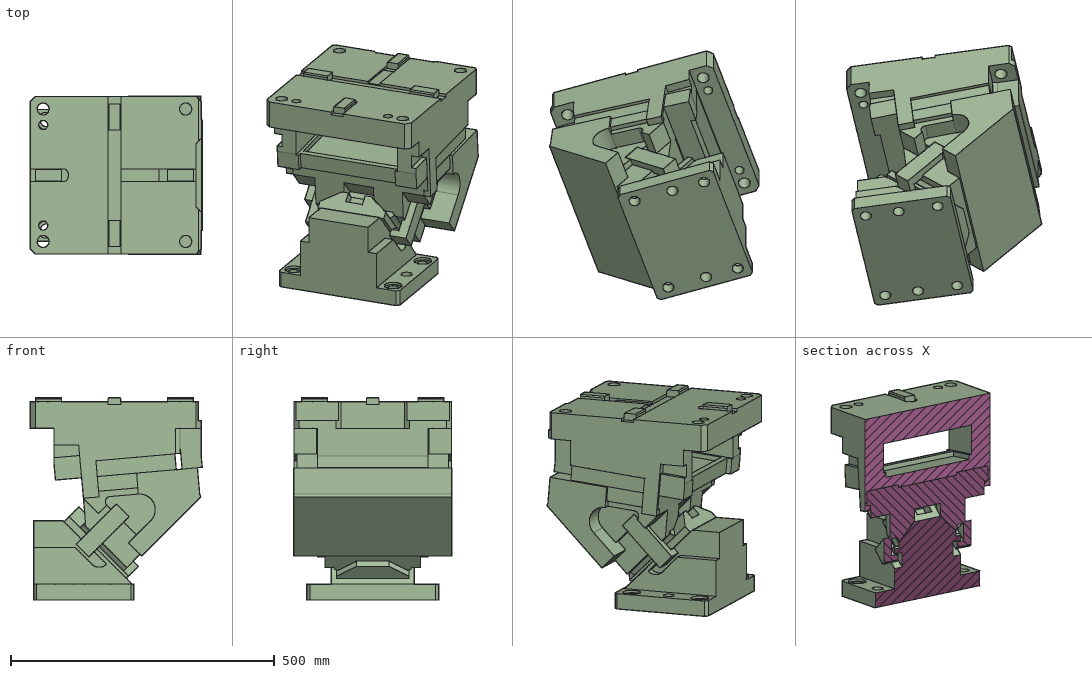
import cadquery as cq
import math


TILT = math.radians(5)
TILT_ORIGIN_Z = 237.5
SLOPE = math.radians(45)
TILT_DIR = (math.cos(TILT), math.sin(TILT))
TILT_NORMAL = (-math.sin(TILT), math.cos(TILT))
SLOPE_DIR = (math.cos(SLOPE), -math.sin(SLOPE))
SLOPE_NORMAL = (math.sin(SLOPE), math.cos(SLOPE))

CUT_OVERRUN = 4.0

OVERALL_LENGTH = 326.8
TOP_Z = 384.0
PLATE_TOP = 376.5
PLATE_BOTTOM = 325.2
PLATE_LEFT = -OVERALL_LENGTH / 2
PLATE_RIGHT = 161.3
HOLDER_HALF = 149.8
PLATE_CHAMFER = 10.0
LEDGE_X = 156.0
LEDGE_Z = 340.2
REAR_NOTCH_X = 151.3
REAR_NOTCH_HALF = 60.0
SLOT_HALF = 12.3
SLOT_FLOOR = 371.0
RAISED_FLOOR = 373.2
RAISED_FLOOR_END_X = 81.0
CROSS_SLOT_X = -3.5
LEFT_SLOT_END_X = -97.5
LEFT_SLOT_TIP_X = -90.5
KEY_LENGTH = 49.5
KEY_CHAMFER = 3.0
KEY_CHAMFER_WIDTH = 1.5
LEFT_KEY_X = -128.3
RIGHT_KEY_X = 121.7
CROSS_KEY_Y = 110.2
LEFT_HOLE_X = -138.5
RIGHT_HOLE_X = 131.7
BOLT_HOLE_Y = 125.5
BOLT_HOLE_DIA = 22.3
REAR_BOLT_HOLE_DIA = 23.0
DOWEL_Y = 95.2
DOWEL_DIA = 17.0

HOUSING_LEFT = -118.3
HOUSING_RIGHT = 112.0
CHEEK_LEFT_A = -66.0
CHEEK_RIGHT_A = -36.0
CHEEK_BOTTOM_H = -38.8
CHEEK_STEP_Z = 294.0
CHEEK_STEP_HALF = 134.5
GUIDE_HALF = 144.0
GUIDE_THICKNESS = 30.0
GUIDE_LEFT_A = -116.0
GUIDE_RIGHT_A = 114.5
GUIDE_SHOULDER_H = 42.5
CHANNEL_HALF = 105.2
CHANNEL_TOP = 320.3
RECESS_HALF = 99.0
RECESS_H = 20.7
BAR_LEFT_A = -106.5
BAR_RIGHT_A = -94.5
BAR_HALF = 100.2
KEEL_HALF = 70.0
KEEL_DEPTH = 5.5

WEB_RIGHT = 121.5
STOP_RIGHT = 161.3
STOP_HALF = 105.2
WEB_BOTTOM_Z = 277.5
STOP_BEND_Z = 272.5
STOP_LEFT_A = 125.0
STOP_TIP_X = OVERALL_LENGTH / 2
GUSSET = 23.0
GUSSET_X = 116.7
WEB_OVERHANG = 2.0

SLIDER_HALF = 300.0 / 2
TONGUE_H = -28.0
SHOULDER_HALF = 135.5
BODY_HALF = 90.5
POCKET_FLOOR_HALF = 103.5
WIDE_LEFT_A = 38.8
WIDE_RIGHT_A = 154.8
WIDE_RIGHT_H = -50.3
FOOT_INNER_U = -60.3
FOOT_OUTER_U = -24.5
FOOT_N = 93.0
FOOT_TIP_X = 160.5
POCKET_ROOF_H = -40.0
POCKET_FLOOR_N = 114.5
POCKET_FLOOR_TOP_N = 229.0
POCKET_SMALL_RADIUS = 9.5
POCKET_BIG_RADIUS = 29.5
SLIDER_FRONT_U = -192.0
NOTCH_U = -139.8
NOTCH_N = 92.0
NOTCH_HALF = 30.7
SKIRT_START_U = -145.5
SKIRT_START_N = 62.5
BODY_END_U = -29.0
SKIRT_N = 57.5
SKIRT_HALF = 74.5
HOOK_U = (-128.5, -94.5)
HOOK_N = (21.0, 129.0)
HOOK_HALF = 104.5
HOOK_INNER_HALF = 85.5
HOOK_LIP_HALF = 70.3
HOOK_LIP_TOP_N = 34.0

BASE_LEFT = -156.5
BASE_RIGHT = 33.5
BASE_HALF = 125.0
BASE_HEIGHT = 30.0
BASE_CHAMFER = 5.8
BLOCK_HALF = 79.0
BLOCK_Z = 100.0
BLOCK_N = 42.5
TOWER_HALF = 61.5
TOWER_Z = 150.5
ROOF_U = (-175.0, -15.5)
ROOF_EDGE_HALF = 68.5
ROOF_EDGE_N = 48.8
ROOF_TOP_HALF = 30.7
ROOF_TOP_N = 75.0
RIDGE_SLOT_HALF = 17.3
RIDGE_SLOT_N = 56.5
RIDGE_SLOT_LENGTH = 19.2
FLANGE_N = 35.0
FLANGE_START_U = -115.2
GROOVE_N = 15.5
GROOVE_END_U = -61.0
BASE_HOLE_Y = 103.0
BASE_BOLT_XS = (-133.0, 5.8)
BASE_DOWEL_X = -69.5
BASE_BOLT_DIA = 20.7
BASE_COUNTERBORE_DIA = 33.0
BASE_COUNTERBORE_DEPTH = 4.5
BASE_DOWEL_DIA = 20.7


def tilt(a, h):
    """XZ point of tilt-frame coordinates."""
    return (
        a * TILT_DIR[0] + h * TILT_NORMAL[0],
        TILT_ORIGIN_Z + a * TILT_DIR[1] + h * TILT_NORMAL[1],
    )


def slope(u, n):
    """XZ point of slope-frame coordinates."""
    return (
        u * SLOPE_DIR[0] + n * SLOPE_NORMAL[0],
        u * SLOPE_DIR[1] + n * SLOPE_NORMAL[1],
    )


def crossing(p, p_dir, q, q_dir):
    """XZ point where the line from p along p_dir meets the line from q along q_dir."""
    across = p_dir[0] * q_dir[1] - p_dir[1] * q_dir[0]
    along = ((q[0] - p[0]) * q_dir[1] - (q[1] - p[1]) * q_dir[0]) / across
    return (p[0] + along * p_dir[0], p[1] + along * p_dir[1])


def on_circle(center, radius, angle):
    """XZ point of a circle at an angle in radians from +X."""
    return (center[0] + radius * math.cos(angle), center[1] + radius * math.sin(angle))


def plate(outline, half):
    """Closed XZ outline extruded to Y = -half .. +half."""
    return outline.close().extrude(half, both=True)


def prism(points, half):
    """XZ polygon extruded to Y = -half .. +half."""
    return plate(cq.Workplane("XZ").polyline(points), half)


def side_pair(points, inner, outer):
    """XZ polygon extruded between inner and outer on both sides of Y = 0."""
    return prism(points, outer).cut(prism(points, inner))


def slope_prism(points, u_start, u_end):
    """(Y, n) polygon extruded along the slope."""
    start = slope(u_start, 0)
    plane = cq.Plane(
        origin=(start[0], 0, start[1]),
        xDir=(0, 1, 0),
        normal=(SLOPE_DIR[0], 0, SLOPE_DIR[1]),
    )
    return cq.Workplane(plane).polyline(points).close().extrude(u_end - u_start)


def mirrored(points):
    """Add the mirror image in Y of a half profile, giving a whole profile."""
    return points + [(-y, n) for y, n in reversed(points)]


def block(x_range, half, z_range):
    """Box centred on Y = 0."""
    (x0, x1), (z0, z1) = x_range, z_range
    return cq.Workplane("XY").box(
        x1 - x0, 2 * half, z1 - z0, centered=(False, True, False)
    ).translate((x0, 0, z0))


def hole(x, y, diameter, z_bottom, z_top):
    return cq.Workplane("XY", origin=(x, y, z_bottom)).circle(diameter / 2).extrude(z_top - z_bottom)


def key(x, y, turn):
    """Key bar standing in its slot, bevelled along its long top edges."""
    profile = mirrored(
        [
            (SLOT_HALF, SLOT_FLOOR),
            (SLOT_HALF, TOP_Z - KEY_CHAMFER),
            (SLOT_HALF - KEY_CHAMFER_WIDTH, TOP_Z),
        ]
    )
    bar = cq.Workplane("YZ").polyline(profile).close().extrude(KEY_LENGTH / 2, both=True)
    return bar.rotate((0, 0, 0), (0, 0, 1), turn).translate((x, y, 0))


def top_plate():
    body = block((PLATE_LEFT, PLATE_RIGHT), HOLDER_HALF, (PLATE_BOTTOM, PLATE_TOP))
    body = body.edges("|Z").chamfer(PLATE_CHAMFER)
    body = body.cut(block((LEDGE_X, PLATE_RIGHT), HOLDER_HALF, (LEDGE_Z, PLATE_TOP)))

    flare = REAR_NOTCH_HALF + PLATE_RIGHT - REAR_NOTCH_X
    rear_notch = cq.Workplane("XY", origin=(0, 0, PLATE_BOTTOM)).polyline(
        [
            (REAR_NOTCH_X, -REAR_NOTCH_HALF),
            (PLATE_RIGHT, -flare),
            (PLATE_RIGHT, flare),
            (REAR_NOTCH_X, REAR_NOTCH_HALF),
        ]
    ).close().extrude(PLATE_TOP - PLATE_BOTTOM)
    body = body.cut(rear_notch)

    slot_depth = (SLOT_FLOOR, PLATE_TOP)
    left_slot = (
        cq.Workplane("XY", origin=(0, 0, SLOT_FLOOR))
        .moveTo(PLATE_LEFT, -SLOT_HALF)
        .lineTo(LEFT_SLOT_END_X, -SLOT_HALF)
        .threePointArc((LEFT_SLOT_TIP_X, 0), (LEFT_SLOT_END_X, SLOT_HALF))
        .lineTo(PLATE_LEFT, SLOT_HALF)
        .close()
        .extrude(PLATE_TOP - SLOT_FLOOR)
    )
    body = body.cut(left_slot)
    body = body.cut(block((CROSS_SLOT_X - SLOT_HALF, CROSS_SLOT_X + SLOT_HALF), HOLDER_HALF, slot_depth))
    body = body.cut(block((CROSS_SLOT_X, RAISED_FLOOR_END_X), SLOT_HALF, (RAISED_FLOOR, PLATE_TOP)))
    body = body.cut(block((RAISED_FLOOR_END_X, PLATE_RIGHT), SLOT_HALF, slot_depth))

    keys = [
        (LEFT_KEY_X, 0, 0),
        (RIGHT_KEY_X, 0, 0),
        (CROSS_SLOT_X, CROSS_KEY_Y, 90),
        (CROSS_SLOT_X, -CROSS_KEY_Y, 90),
    ]
    for x, y, turn in keys:
        body = body.union(key(x, y, turn))

    holes = [
        (LEFT_HOLE_X, BOLT_HOLE_Y, BOLT_HOLE_DIA),
        (RIGHT_HOLE_X, BOLT_HOLE_Y, REAR_BOLT_HOLE_DIA),
        (LEFT_HOLE_X, DOWEL_Y, DOWEL_DIA),
    ]
    for x, y, diameter in holes:
        for side in (-1, 1):
            body = body.cut(hole(x, side * y, diameter, PLATE_BOTTOM, PLATE_TOP))
    return body


def housing():
    step_corner = crossing(tilt(CHEEK_LEFT_A, 0), TILT_NORMAL, (0, CHEEK_STEP_Z), (1, 0))
    guide_top = crossing(tilt(0, GUIDE_THICKNESS), TILT_DIR, (HOUSING_RIGHT, 0), (0, 1))
    cheeks = prism(
        [
            (HOUSING_LEFT, PLATE_BOTTOM),
            (HOUSING_LEFT, CHEEK_STEP_Z),
            step_corner,
            tilt(CHEEK_LEFT_A, CHEEK_BOTTOM_H),
            tilt(CHEEK_RIGHT_A, CHEEK_BOTTOM_H),
            tilt(CHEEK_RIGHT_A, GUIDE_THICKNESS),
            guide_top,
            (HOUSING_RIGHT, PLATE_BOTTOM),
        ],
        HOLDER_HALF,
    )
    passages = [
        (GUIDE_HALF, TONGUE_H, GUIDE_THICKNESS),
        (SHOULDER_HALF, CHEEK_BOTTOM_H, TONGUE_H),
    ]
    for half, bottom, top in passages:
        passage = [
            tilt(CHEEK_LEFT_A, bottom),
            tilt(CHEEK_RIGHT_A, bottom),
            tilt(CHEEK_RIGHT_A, top),
            tilt(CHEEK_LEFT_A, top),
        ]
        cheeks = cheeks.cut(prism(passage, half))

    front_shoulder = crossing(tilt(0, GUIDE_SHOULDER_H), TILT_DIR, (HOUSING_LEFT, 0), (0, 1))
    front_edge = crossing(tilt(GUIDE_LEFT_A, 0), TILT_NORMAL, (HOUSING_LEFT, 0), (0, 1))
    guide = prism(
        [
            front_shoulder,
            front_edge,
            tilt(GUIDE_LEFT_A, 0),
            tilt(GUIDE_RIGHT_A, 0),
            tilt(GUIDE_RIGHT_A, GUIDE_THICKNESS),
            tilt(CHEEK_LEFT_A, GUIDE_THICKNESS),
            tilt(CHEEK_LEFT_A, GUIDE_SHOULDER_H),
        ],
        GUIDE_HALF,
    )
    front_web = prism(
        [
            (HOUSING_LEFT, CHEEK_STEP_Z),
            front_shoulder,
            tilt(CHEEK_LEFT_A, GUIDE_SHOULDER_H),
            step_corner,
        ],
        CHEEK_STEP_HALF,
    )
    body = cheeks.union(guide).union(front_web)

    channel = [
        (HOUSING_LEFT, CHANNEL_TOP),
        tilt(GUIDE_LEFT_A - CUT_OVERRUN, GUIDE_THICKNESS),
        tilt(GUIDE_RIGHT_A + CUT_OVERRUN, GUIDE_THICKNESS),
        (HOUSING_RIGHT + CUT_OVERRUN, CHANNEL_TOP),
    ]
    body = body.cut(prism(channel, CHANNEL_HALF))
    recess = [
        tilt(BAR_RIGHT_A, RECESS_H),
        tilt(GUIDE_RIGHT_A, RECESS_H),
        tilt(GUIDE_RIGHT_A, GUIDE_THICKNESS),
        tilt(BAR_RIGHT_A, GUIDE_THICKNESS),
    ]
    body = body.cut(prism(recess, RECESS_HALF))
    bar_setback = [
        tilt(GUIDE_LEFT_A - CUT_OVERRUN, 0),
        tilt(BAR_LEFT_A, 0),
        tilt(BAR_LEFT_A, GUIDE_THICKNESS),
        tilt(GUIDE_LEFT_A - CUT_OVERRUN, GUIDE_THICKNESS),
    ]
    body = body.cut(prism(bar_setback, BAR_HALF))
    return body.union(keel())


def keel():
    """Shallow key under the guide that runs in the slider's top groove."""
    return prism(
        [
            tilt(CHEEK_LEFT_A, -KEEL_DEPTH),
            tilt(GUIDE_RIGHT_A, -KEEL_DEPTH),
            tilt(GUIDE_RIGHT_A, 0),
            tilt(CHEEK_LEFT_A, 0),
        ],
        KEEL_HALF,
    )


def rear_stop():
    stop = prism(
        [
            crossing(tilt(STOP_LEFT_A, 0), TILT_NORMAL, (0, PLATE_BOTTOM), (1, 0)),
            tilt(STOP_LEFT_A, 0),
            tilt(STOP_TIP_X / TILT_DIR[0], 0),
            (STOP_RIGHT, STOP_BEND_Z),
            (STOP_RIGHT, PLATE_BOTTOM),
        ],
        STOP_HALF,
    )
    for side in (-1, 1):
        web_plan = [
            (HOUSING_RIGHT, side * CHANNEL_HALF),
            (WEB_RIGHT, side * RECESS_HALF),
            (WEB_RIGHT, side * STOP_HALF),
            (HOUSING_RIGHT, side * (STOP_HALF + WEB_OVERHANG)),
        ]
        web = cq.Workplane("XY", origin=(0, 0, WEB_BOTTOM_Z)).polyline(web_plan).close()
        gusset_profile = [
            (side * RECESS_HALF, CHANNEL_TOP - GUSSET),
            (side * STOP_HALF, CHANNEL_TOP - GUSSET),
            (side * STOP_HALF, CHANNEL_TOP),
            (side * (RECESS_HALF - GUSSET), CHANNEL_TOP),
        ]
        gusset = cq.Workplane("YZ", origin=(GUSSET_X, 0, 0)).polyline(gusset_profile).close()
        stop = stop.union(web.extrude(PLATE_BOTTOM - WEB_BOTTOM_Z))
        stop = stop.union(gusset.extrude(WEB_RIGHT - GUSSET_X))
    roof = block((HOUSING_RIGHT, WEB_RIGHT), STOP_HALF, (CHANNEL_TOP, PLATE_BOTTOM))
    return stop.union(roof)


def make_holder():
    return top_plate().union(housing()).union(rear_stop())


def slider_body():
    """Central body whose underside rides on the driver's roof."""
    left_edge = (tilt(CHEEK_LEFT_A, 0), TILT_NORMAL)
    body = prism(
        [
            tilt(CHEEK_LEFT_A, 0),
            crossing(*left_edge, slope(0, SKIRT_N), SLOPE_DIR),
            slope(BODY_END_U, SKIRT_N),
            slope(BODY_END_U, POCKET_FLOOR_N),
            tilt(WIDE_RIGHT_A, 0),
        ],
        BODY_HALF,
    )
    skirt = mirrored(
        [
            (ROOF_EDGE_HALF, ROOF_EDGE_N),
            (SKIRT_HALF, SKIRT_N),
            (ROOF_EDGE_HALF, SKIRT_START_N),
        ]
    )
    return body.union(slope_prism(skirt, SKIRT_START_U, BODY_END_U))


def slider_shoulder():
    """Front part under the guide: wide tongue above, narrower shoulder below."""
    center = crossing(
        tilt(0, POCKET_ROOF_H - POCKET_SMALL_RADIUS), TILT_DIR,
        slope(0, POCKET_FLOOR_N + POCKET_SMALL_RADIUS), SLOPE_DIR,
    )
    arc_start_angle = -math.pi / 2 - SLOPE
    arc_end_angle = math.pi / 2 + TILT - 2 * math.pi
    arc_middle_angle = (arc_start_angle + arc_end_angle) / 2
    left_edge = (tilt(CHEEK_LEFT_A, 0), TILT_NORMAL)
    arc_start = on_circle(center, POCKET_SMALL_RADIUS, arc_start_angle)
    notch_corner = crossing(arc_start, SLOPE_NORMAL, slope(0, NOTCH_N), SLOPE_DIR)
    outline = (
        cq.Workplane("XZ")
        .moveTo(*tilt(CHEEK_LEFT_A, 0))
        .lineTo(*crossing(*left_edge, slope(0, NOTCH_N), SLOPE_DIR))
        .lineTo(*notch_corner)
        .lineTo(*arc_start)
        .threePointArc(
            on_circle(center, POCKET_SMALL_RADIUS, arc_middle_angle),
            on_circle(center, POCKET_SMALL_RADIUS, arc_end_angle),
        )
        .lineTo(*tilt(WIDE_LEFT_A, POCKET_ROOF_H))
        .lineTo(*tilt(WIDE_LEFT_A, 0))
    )
    tongue = [
        tilt(CHEEK_LEFT_A, TONGUE_H),
        tilt(WIDE_LEFT_A, TONGUE_H),
        tilt(WIDE_LEFT_A, 0),
        tilt(CHEEK_LEFT_A, 0),
    ]
    return plate(outline, SHOULDER_HALF).union(prism(tongue, GUIDE_HALF))


def slider_wide_part():
    """Full-width rear part with its foot, curved around the side pocket."""
    center = crossing(
        tilt(0, POCKET_ROOF_H - POCKET_BIG_RADIUS), TILT_DIR,
        slope(FOOT_INNER_U - POCKET_BIG_RADIUS, 0), SLOPE_NORMAL,
    )
    arc_start_angle = math.pi / 2 + TILT
    arc_end_angle = -SLOPE
    arc_middle_angle = (arc_start_angle + arc_end_angle) / 2
    outline = (
        cq.Workplane("XZ")
        .moveTo(*tilt(WIDE_LEFT_A, 0))
        .lineTo(*on_circle(center, POCKET_BIG_RADIUS, arc_start_angle))
        .threePointArc(
            on_circle(center, POCKET_BIG_RADIUS, arc_middle_angle),
            on_circle(center, POCKET_BIG_RADIUS, arc_end_angle),
        )
        .lineTo(*slope(FOOT_INNER_U, FOOT_N))
        .lineTo(*slope(FOOT_OUTER_U, FOOT_N))
        .lineTo(*crossing(slope(FOOT_OUTER_U, 0), SLOPE_NORMAL, (FOOT_TIP_X, 0), (0, 1)))
        .lineTo(*tilt(WIDE_RIGHT_A, WIDE_RIGHT_H))
        .lineTo(*tilt(WIDE_RIGHT_A, 0))
    )
    return plate(outline, SLIDER_HALF)


def slider_pocket_floor():
    """Thick web between the two side pockets."""
    return prism(
        [
            tilt(CHEEK_RIGHT_A, POCKET_ROOF_H),
            slope(NOTCH_U, POCKET_FLOOR_N),
            slope(FOOT_INNER_U, POCKET_FLOOR_N),
            slope(FOOT_INNER_U, POCKET_FLOOR_TOP_N),
            tilt(WIDE_LEFT_A, POCKET_ROOF_H),
        ],
        POCKET_FLOOR_HALF,
    )


def return_hooks():
    """Hooks down both sides whose lips reach under the driver's flange."""
    def band(n_start, n_end):
        return [
            slope(HOOK_U[0], n_start),
            slope(HOOK_U[1], n_start),
            slope(HOOK_U[1], n_end),
            slope(HOOK_U[0], n_end),
        ]

    arms = side_pair(band(*HOOK_N), HOOK_INNER_HALF, HOOK_HALF)
    lips = side_pair(band(HOOK_N[0], HOOK_LIP_TOP_N), HOOK_LIP_HALF, HOOK_HALF)
    return arms.union(lips)


def make_slider():
    body = slider_body().union(slider_shoulder()).union(slider_wide_part())
    body = body.union(slider_pocket_floor()).union(return_hooks())
    v_groove = mirrored(
        [
            (ROOF_EDGE_HALF, FLANGE_N),
            (ROOF_EDGE_HALF, ROOF_EDGE_N),
            (ROOF_TOP_HALF, ROOF_TOP_N),
        ]
    )
    body = body.cut(slope_prism(v_groove, SLIDER_FRONT_U, BODY_END_U))
    front_notch = mirrored([(NOTCH_HALF, ROOF_TOP_N), (NOTCH_HALF, NOTCH_N)])
    body = body.cut(slope_prism(front_notch, SLIDER_FRONT_U, NOTCH_U))
    return body.cut(keel())


def driver_base():
    base = block((BASE_LEFT, BASE_RIGHT), BASE_HALF, (0, BASE_HEIGHT)).edges("|Z").chamfer(BASE_CHAMFER)
    for side in (-1, 1):
        y = side * BASE_HOLE_Y
        for x in BASE_BOLT_XS:
            base = base.cut(hole(x, y, BASE_BOLT_DIA, 0, BASE_HEIGHT))
            seat = BASE_HEIGHT - BASE_COUNTERBORE_DEPTH
            base = base.cut(hole(x, y, BASE_COUNTERBORE_DIA, seat, BASE_HEIGHT))
        base = base.cut(hole(BASE_DOWEL_X, y, BASE_DOWEL_DIA, 0, BASE_HEIGHT))
    return base


def driver_block():
    """Stepped block under the slope, with side grooves for the slider's hook lips."""
    lower = prism(
        [
            (BASE_LEFT, 0),
            crossing((0, 0), (1, 0), slope(0, BLOCK_N), (0, 1)),
            crossing((0, BASE_HEIGHT), (1, 0), slope(0, BLOCK_N), SLOPE_DIR),
            slope(FLANGE_START_U, BLOCK_N),
            slope(FLANGE_START_U, FLANGE_N),
            crossing((0, BLOCK_Z), (1, 0), slope(0, FLANGE_N), SLOPE_DIR),
            (BASE_LEFT, BLOCK_Z),
        ],
        BLOCK_HALF,
    )
    groove_height = FLANGE_N - GROOVE_N
    groove_center = slope(GROOVE_END_U - groove_height, FLANGE_N)
    groove = plate(
        cq.Workplane("XZ")
        .moveTo(*slope(ROOF_U[0], FLANGE_N))
        .lineTo(*slope(ROOF_U[0], GROOVE_N))
        .lineTo(*slope(GROOVE_END_U - groove_height, GROOVE_N))
        .threePointArc(
            on_circle(groove_center, groove_height, -math.pi / 2),
            slope(GROOVE_END_U, FLANGE_N),
        ),
        BLOCK_HALF,
    )
    tower = prism(
        [
            (BASE_LEFT, 0),
            (BASE_LEFT, TOWER_Z),
            crossing((0, TOWER_Z), (1, 0), slope(0, FLANGE_N), SLOPE_DIR),
            slope(GROOVE_END_U, FLANGE_N),
            slope(GROOVE_END_U, GROOVE_N),
        ],
        TOWER_HALF,
    )
    return lower.cut(groove).union(tower)


def driver_roof():
    """Roof-shaped guide along the slope, slotted at its upper end."""
    profile = mirrored(
        [
            (ROOF_EDGE_HALF, FLANGE_N),
            (ROOF_EDGE_HALF, ROOF_EDGE_N),
            (ROOF_TOP_HALF, ROOF_TOP_N),
        ]
    )
    slot = mirrored([(RIDGE_SLOT_HALF, RIDGE_SLOT_N), (RIDGE_SLOT_HALF, ROOF_TOP_N)])
    roof = slope_prism(profile, *ROOF_U)
    return roof.cut(slope_prism(slot, ROOF_U[0], ROOF_U[0] + RIDGE_SLOT_LENGTH))


def make_driver():
    return driver_base().union(driver_block()).union(driver_roof())


holder = make_holder()
slider = make_slider()
driver = make_driver()

result = cq.Compound.makeCompound([holder.val(), slider.val(), driver.val()])